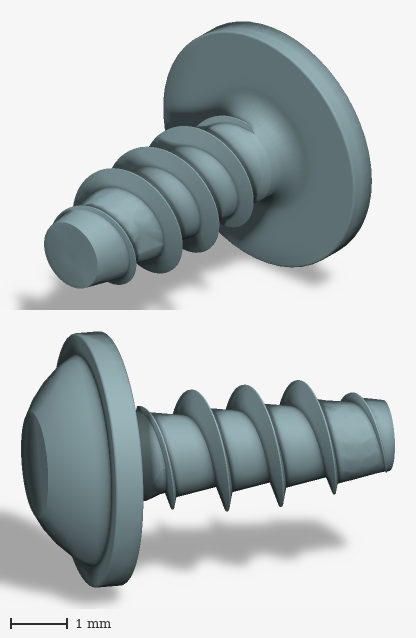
import cadquery as cq
import math


flange_radius = 2.25
flange_thickness = 0.5
flange_edge_radius = 0.04
dome_height = 0.9
dome_base_radius = 1.88
dome_top_radius = 0.94

shank_length = 5.0
shank_radius = 0.8
neck_fillet = 0.35
plain_depth = 0.55
neck_cone_depth = 1.1
neck_cone_radius = 0.6
tip_cone_depth = 4.1
tip_radius = 0.63
dimple_radius = 0.585
dimple_depth = 0.03

pitch = 0.98
start_depth = 0.35
crest_radius = 1.1
crest_half_width = 0.012
base_half_width = 0.20
base_radius = 0.55
run_in_start = 0
run_in_end = 450
run_out_start = 1170
run_out_end = 1720
run_in_drop = 0.26
run_out_drop = 0.48

root_radius_high = 0.79
root_radius_low = 0.63
groove_margin = 0.01
groove_start = -180
groove_full_depth = -90
groove_end = run_out_end - 360
groove_start_lift = 0.15
groove_outer_radius = 1.3

sample_angle = 30


def thread_depth(angle):
    """Depth of the thread centre line at an angle in degrees."""
    return start_depth + pitch * angle / 360


def crest_shift(angle):
    """Radial shift of the thread profile: run-in, full height, run-out."""
    if angle < run_in_end:
        return -run_in_drop * (run_in_end - angle) / (run_in_end - run_in_start)
    if angle > run_out_start:
        return -run_out_drop * (angle - run_out_start) / (run_out_end - run_out_start)
    return 0.0


def groove_shift(angle):
    """Radial lift of the groove floor where the groove begins."""
    if angle < groove_full_depth:
        return groove_start_lift * (groove_full_depth - angle) / (groove_full_depth - groove_start)
    return 0.0


def helical_solid(profile, start, end, shift):
    """Solid traced by a (radius, axial offset) polygon along the thread helix."""
    steps = math.ceil((end - start) / sample_angle)
    angles = [start + (end - start) * i / steps for i in range(steps + 1)]

    def helix_point(radius, offset, angle):
        r = radius + shift(angle)
        a = math.radians(angle)
        return cq.Vector(r * math.cos(a), -thread_depth(angle) - offset, r * math.sin(a))

    edges = []
    for radius, offset in profile:
        points = [helix_point(radius, offset, a) for a in angles]
        edges.append(cq.Edge.makeSpline(points, parameters=angles))
    faces = []
    for i, edge in enumerate(edges):
        faces.append(cq.Face.makeRuledSurface(edges[i - 1], edge))
    for angle in (start, end):
        corners = [helix_point(radius, offset, angle) for radius, offset in profile]
        faces.append(cq.Face.makeFromWires(cq.Wire.makePolygon(corners, close=True)))
    solid = cq.Solid.makeSolid(cq.Shell.makeShell(faces))
    return cq.Workplane(solid.fix())


def revolve_about_y(outline):
    """Close an XY outline and turn it around the screw axis."""
    return outline.close().revolve(360, (0, 0, 0), (0, 1, 0))


def make_head():
    """Flange with rounded rims and a flat-topped spherical dome."""
    center_drop = (dome_base_radius**2 - dome_top_radius**2 - dome_height**2) / (2 * dome_height)
    sphere_radius = math.hypot(dome_base_radius, center_drop)
    mid_radius = math.sqrt(sphere_radius**2 - (center_drop + dome_height / 2) ** 2)
    flange = cq.Workplane("XZ").circle(flange_radius).extrude(-flange_thickness)
    flange = flange.edges().fillet(flange_edge_radius)
    dome = revolve_about_y(
        cq.Workplane("XY")
        .lineTo(dome_base_radius, 0)
        .lineTo(dome_base_radius, flange_thickness)
        .threePointArc(
            (mid_radius, flange_thickness + dome_height / 2),
            (dome_top_radius, flange_thickness + dome_height),
        )
        .lineTo(0, flange_thickness + dome_height)
    )
    return flange.union(dome)


def make_neck():
    """Filleted plain neck ending in a cone that leads into the thread roots."""
    return revolve_about_y(
        cq.Workplane("XY")
        .lineTo(shank_radius + neck_fillet, 0)
        .radiusArc((shank_radius, -neck_fillet), -neck_fillet)
        .lineTo(shank_radius, -plain_depth)
        .lineTo(neck_cone_radius, -neck_cone_depth)
        .lineTo(0, -neck_cone_depth)
    )


def make_core():
    """Shank blank with a tapered tip and a shallow conical dimple."""
    return revolve_about_y(
        cq.Workplane("XY")
        .moveTo(0, -plain_depth)
        .lineTo(shank_radius, -plain_depth)
        .lineTo(shank_radius, -tip_cone_depth)
        .lineTo(tip_radius, -shank_length)
        .lineTo(dimple_radius, -shank_length)
        .lineTo(0, -shank_length + dimple_depth)
    )


def make_groove():
    """Helical cut that slopes the root between neighbouring turns."""
    profile = [
        (root_radius_high, groove_margin),
        (root_radius_low, pitch - groove_margin),
        (groove_outer_radius, pitch - groove_margin),
        (groove_outer_radius, groove_margin),
    ]
    return helical_solid(profile, groove_start, groove_end, groove_shift)


def make_thread():
    """Helical thread ridge, fading in at the neck and out at the tip."""
    profile = [
        (base_radius, -base_half_width),
        (crest_radius, -crest_half_width),
        (crest_radius, crest_half_width),
        (base_radius, base_half_width),
    ]
    thread = helical_solid(profile, run_in_start, run_out_end, crest_shift)
    threaded_zone = (
        cq.Workplane("XZ", origin=(0, -plain_depth, 0))
        .circle(groove_outer_radius)
        .extrude(shank_length - dimple_depth - plain_depth)
    )
    return thread.intersect(threaded_zone)


core = make_core().cut(make_groove())
result = core.union(make_neck()).union(make_thread()).union(make_head())